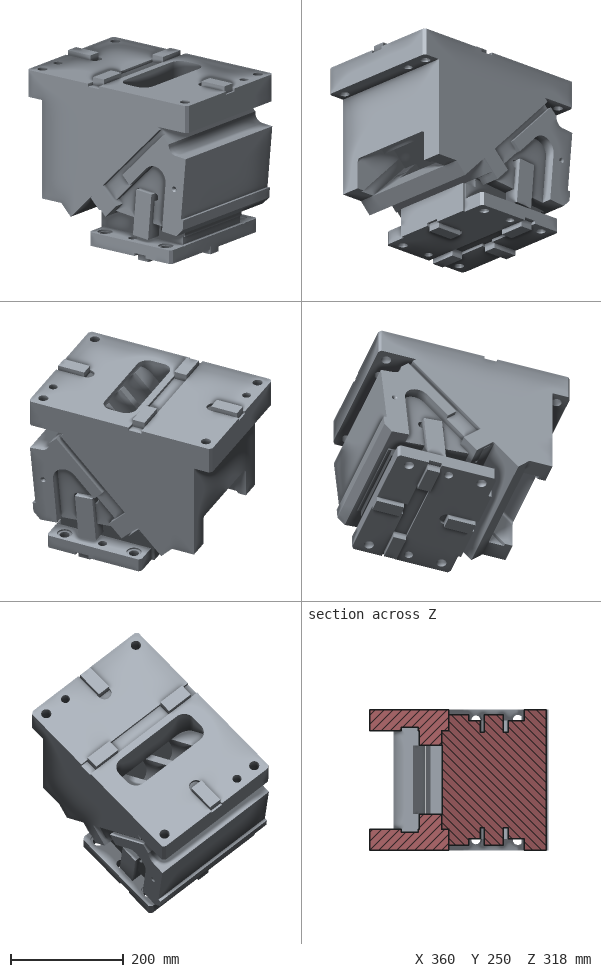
import cadquery as cq
import math


HALF_WIDTH = 125.0
CUT_MARGIN = 3.5
CORNER_CHAMFER_X = 4.5
CORNER_CHAMFER_Y = 5.5

SLIDE_N = -122.5
SLAB_THICKNESS = 30.2
FLOOR_N = SLIDE_N + SLAB_THICKNESS
SLIDE_TOP_S = 43.2

KEY_LENGTH = 51.0
KEY_WIDTH = 23.8
KEY_SLOT_WIDTH = 25.0
KEY_SLOT_DEPTH = 5.5
KEY_HEIGHT = 9.0
BOLT_DIAMETER = 18.0
DOWEL_DIAMETER = 16.0

PLATE_HALF_LENGTH = 180.0
PLATE_THICKNESS = 50.0
BODY_LEFT_X = -145.8
BODY_BOTTOM_Z = -233.0
FOOT_TIP_S = -237.5
FINGER_LOW_S = -171.7
FINGER_HIGH_S = -137.0
FINGER_REACH = 44.5
FINGER_INNER_Y = 86.8
CHANNEL_HALF_WIDTH = 86.8
CHANNEL_TOP_S = 41.5
CHANNEL_LOW_S = -324.0
UNDERCUT_HALF_WIDTH = 92.5
UNDERCUT_HEIGHT = 20.5
MOUTH_HEIGHT = 71.0
MOUTH_TOP_S = -162.0
MOUTH_CORNER = 5.5
WINDOW_X = (-4.5, 58.0)
WINDOW_HALF_WIDTH = 86.5
WINDOW_CORNER = 20.0
PORT_LOW_S = -189.0
PORT_HALF_WIDTH = 61.0
GROOVE_S = (-176.8, -164.5)
GROOVE_DEPTH = 1.0
END_KEY_X = 150.5
END_SLOT_LENGTH = 68.5
CROSS_KEY_X = -30.0
CROSS_KEY_Y = 85.5
PLATE_BOLT_X = 160.2
PLATE_BOLT_Y = 105.0
PLATE_DOWELS = [(-PLATE_BOLT_X, -60.0), (PLATE_BOLT_X, 64.8)]

HEAD_TOP_N = -46.8
HEAD_LOW_S = -135.5
HEAD_HIGH_S = 31.5
NECK_HALF_WIDTH = 58.5
TROUGH_Y = 30.2
TROUGH_RADIUS = 23.5
TROUGH_WALL = 13.5
TROUGH_LOW_S = -70.2

TILT = 5.0
SLIDER_LOW_S = -174.5
SLIDER_BOTTOM_X = -17.5
SLIDER_BOTTOM_Z = -230.0
NOSE_START_X = 139.0
NOSE_MIDDLE = (143.5, -91.5)
NOSE_FLOOR = (156.2, -96.5)
NOSE_TIP = (177.0, -98.3)
LIP_Z = -212.8
LIP_X = 166.5
LIP_WIDTH = 5.5
LOWER_CORNER = (170.3, -231.5)
HEEL_X = 156.5
POCKET_Y = 105.0
POCKET_RADIUS = 25.2
POCKET_CENTRE = (106.5, -150.0)
POCKET_DROP = 108.0
RECESS_Y = 116.0
LEDGE_N = -134.0
LEDGE_LOW_S = -84.5
DIMPLE_DIAMETER = 10.0
DIMPLE_CENTRE = (151.2, -159.0)
DIMPLE_DEPTH = 4.5
DIMPLE_TAPER = 45.0
HOOK_INNER_Y = 85.5
HOOK_OUTER_Y = 116.0
HOOK_BOTTOM_LEFT = (51.5, -265.0)
HOOK_WIDTH = 34.2
HOOK_HEIGHT = 86.0
SEAT_RADIUS = 7.5
PAD_DEPTH = 3.0
PAD_END_X = 147.5

BASE_BOTTOM_Z = -300.0
BASE_PLATE_Z = -274.5
BASE_PLATE_X = (-41.0, 144.5)
BLOCK_HALF_WIDTH = 81.7
BOSS_HALF_WIDTH = 80.3
BLOCK_LEFT_X = -46.5
BLOCK_STEP_Z = -246.0
BLOCK_RIGHT_X = 138.0
BLOCK_LIP_X = 141.5
BLOCK_LIP_Z = -260.0
BASE_BOLT_X = (-18.7, 117.7)
BASE_HOLE_Y = 106.2
BASE_DOWEL_X = 43.2
COUNTERBORE_DIAMETER = 27.0
COUNTERBORE_DEPTH = 3.0
FOOT_GROOVE_OUTER_Y = 87.5
FOOT_GROOVE_DEPTH = 0.7
BASE_CROSS_KEY_X = 74.5
BASE_CROSS_KEY_Y = 90.0
CATCH_X = (57.5, 90.7)
CATCH_Z = (-256.5, -246.0)

ROOT2 = math.sqrt(2)
POCKET_EDGE_N = (POCKET_CENTRE[1] - POCKET_CENTRE[0]) / ROOT2 + POCKET_RADIUS
TILT_SLOPE = math.tan(math.radians(TILT))


def slide_point(s, n):
    """X and Z of a point given in slide coordinates."""
    return (s - n) / ROOT2, (s + n) / ROOT2


def prism(outline, y_low, y_high):
    """X-Z outline extruded from y_low to y_high."""
    return cq.Workplane("XZ", origin=(0, y_high, 0)).polyline(outline).close().extrude(y_high - y_low)


def slide_block(s_low, s_high, n_low, n_high, y_low, y_high):
    """Block with its sides along the slide directions."""
    corners = [(s_low, n_low), (s_high, n_low), (s_high, n_high), (s_low, n_high)]
    return prism([slide_point(s, n) for s, n in corners], y_low, y_high)


def box(x_range, y_range, z_range):
    lows, highs = zip(x_range, y_range, z_range)
    lengths = [high - low for low, high in zip(lows, highs)]
    return cq.Workplane("XY").box(*lengths, centered=False).translate(lows)


def both_sides(solid):
    """A solid together with its mirror image across y = 0."""
    return solid.union(solid.mirror("XZ"))


def corner_cut_plate(x_range, z_range):
    """Full-width plate with its four upright corners cut off."""
    x_low, x_high = x_range
    inner_y = HALF_WIDTH - CORNER_CHAMFER_Y
    inner_low = x_low + CORNER_CHAMFER_X
    inner_high = x_high - CORNER_CHAMFER_X
    outline = [
        (inner_low, -HALF_WIDTH), (inner_high, -HALF_WIDTH), (x_high, -inner_y), (x_high, inner_y),
        (inner_high, HALF_WIDTH), (inner_low, HALF_WIDTH), (x_low, inner_y), (x_low, -inner_y),
    ]
    z_low, z_high = z_range
    return cq.Workplane("XY", origin=(0, 0, z_low)).polyline(outline).close().extrude(z_high - z_low)


def drill(points, diameter, z_low, z_high):
    """Upright round cutters at the given points."""
    plane = cq.Workplane("XY", origin=(0, 0, z_low))
    return plane.pushPoints(points).circle(diameter / 2).extrude(z_high - z_low)


def key(x, y, along_x, z_low, z_high):
    """Locating key centred at x, y, with its length along X or Y."""
    length_x, length_y = (KEY_LENGTH, KEY_WIDTH) if along_x else (KEY_WIDTH, KEY_LENGTH)
    x_range = (x - length_x / 2, x + length_x / 2)
    y_range = (y - length_y / 2, y + length_y / 2)
    return box(x_range, y_range, (z_low, z_high))


def slider_bottom(x):
    """Height of the tilted slider underside at x."""
    return SLIDER_BOTTOM_Z - (x - SLIDER_BOTTOM_X) * TILT_SLOPE


def tilted_box(corner, width, height, y_low, y_high):
    """Block leaning by the tilt angle, given its lower left corner in X-Z."""
    block = box((0, width), (y_low, y_high), (0, height)).rotate((0, 0, 0), (0, 1, 0), TILT)
    return block.translate((corner[0], 0, corner[1]))


def end_key_slot(x_edge, inward, z_low):
    """Key slot open at the plate end x_edge, with a round inner end; inward is +1 or -1."""
    half = KEY_SLOT_WIDTH / 2
    x_centre = x_edge + inward * (END_SLOT_LENGTH - half)
    z_range = (z_low, z_low + KEY_SLOT_DEPTH)
    slot = box(sorted((x_edge, x_centre)), (-half, half), z_range)
    return slot.union(drill([(x_centre, 0)], KEY_SLOT_WIDTH, *z_range))


def cross_key_slot(x, z_low):
    """Key slot across the full width."""
    half = KEY_SLOT_WIDTH / 2
    return box((x - half, x + half), (-HALF_WIDTH, HALF_WIDTH), (z_low, z_low + KEY_SLOT_DEPTH))


def holder_body():
    """Top plate and the body below it, with the sloping slab and its foot."""
    foot_left_x = BODY_BOTTOM_Z - FLOOR_N * ROOT2
    plate = corner_cut_plate((-PLATE_HALF_LENGTH, PLATE_HALF_LENGTH), (-PLATE_THICKNESS, 0))
    outline = [
        (BODY_LEFT_X, -CUT_MARGIN),
        (BODY_LEFT_X, BODY_BOTTOM_Z),
        (foot_left_x, BODY_BOTTOM_Z),
        slide_point(FOOT_TIP_S, SLIDE_N),
        slide_point(SLIDE_TOP_S, SLIDE_N),
        (SLIDE_TOP_S * ROOT2 + PLATE_THICKNESS, -PLATE_THICKNESS),
        (SLIDE_TOP_S * ROOT2 + PLATE_THICKNESS, -CUT_MARGIN),
    ]
    return plate.union(prism(outline, -HALF_WIDTH, HALF_WIDTH))


def finger():
    """Guide finger that reaches down beside the slider."""
    return slide_block(
        FINGER_LOW_S, FINGER_HIGH_S, SLIDE_N - FINGER_REACH, SLIDE_N, FINGER_INNER_Y, HALF_WIDTH
    )


def channel():
    """Sloping channel above the slab, undercut at its floor, with a rounded mouth at its lower end."""
    cutter = slide_block(
        CHANNEL_LOW_S, CHANNEL_TOP_S, FLOOR_N, HEAD_TOP_N, -CHANNEL_HALF_WIDTH, CHANNEL_HALF_WIDTH
    )
    undercut = slide_block(
        CHANNEL_LOW_S, CHANNEL_TOP_S, FLOOR_N, FLOOR_N + UNDERCUT_HEIGHT,
        -UNDERCUT_HALF_WIDTH, UNDERCUT_HALF_WIDTH,
    )
    mouth = slide_block(
        CHANNEL_LOW_S, MOUTH_TOP_S, FLOOR_N, FLOOR_N + MOUTH_HEIGHT, -CHANNEL_HALF_WIDTH, CHANNEL_HALF_WIDTH
    )
    along_slide = cq.selectors.ParallelDirSelector(cq.Vector(1, 0, 1))
    uppermost = cq.selectors.DirectionMinMaxSelector(cq.Vector(-1, 0, 1), True)
    mouth = mouth.edges(along_slide).edges(uppermost).fillet(MOUTH_CORNER)
    return cutter.union(undercut).union(mouth)


def slab_port():
    """Slot through the slab for the slider neck, and the shallow groove across the channel floor."""
    port = slide_block(PORT_LOW_S, SLIDE_TOP_S, SLIDE_N, FLOOR_N, -PORT_HALF_WIDTH, PORT_HALF_WIDTH)
    groove = slide_block(
        *GROOVE_S, FLOOR_N - GROOVE_DEPTH, FLOOR_N, -CHANNEL_HALF_WIDTH, CHANNEL_HALF_WIDTH
    )
    return port.union(groove)


def window():
    """Rounded window from the top face down into the channel."""
    x_low, x_high = WINDOW_X
    channel_low = x_low + HEAD_TOP_N * ROOT2
    channel_high = x_high + HEAD_TOP_N * ROOT2
    shaft = box(WINDOW_X, (-WINDOW_HALF_WIDTH, WINDOW_HALF_WIDTH), (channel_low, CUT_MARGIN))
    shaft = shaft.edges("|Z").fillet(WINDOW_CORNER)
    above_channel = [
        (x_low, channel_low), (x_high, channel_high), (x_high, CUT_MARGIN), (x_low, CUT_MARGIN)
    ]
    return shaft.intersect(prism(above_channel, -WINDOW_HALF_WIDTH, WINDOW_HALF_WIDTH))


def make_holder():
    body = holder_body().union(both_sides(finger()))
    body = body.cut(channel()).cut(slab_port()).cut(window())

    body = body.cut(cross_key_slot(CROSS_KEY_X, -KEY_SLOT_DEPTH))
    for inward in (-1, 1):
        body = body.cut(end_key_slot(-inward * PLATE_HALF_LENGTH, inward, -KEY_SLOT_DEPTH))

    bolts = [(x, y) for x in (-PLATE_BOLT_X, PLATE_BOLT_X) for y in (-PLATE_BOLT_Y, PLATE_BOLT_Y)]
    body = body.cut(drill(bolts, BOLT_DIAMETER, -PLATE_THICKNESS, 0))
    body = body.cut(drill(PLATE_DOWELS, DOWEL_DIAMETER, -PLATE_THICKNESS, 0))

    for x in (-END_KEY_X, END_KEY_X):
        body = body.union(key(x, 0, True, -KEY_SLOT_DEPTH, KEY_HEIGHT))
    for y in (-CROSS_KEY_Y, CROSS_KEY_Y):
        body = body.union(key(CROSS_KEY_X, y, False, -KEY_SLOT_DEPTH, KEY_HEIGHT))
    return body


def spring_troughs():
    """Two U-shaped cutters along the slide, open at the top of the head."""
    direction = (1 / ROOT2, 0, 1 / ROOT2)
    x, z = slide_point(TROUGH_LOW_S, HEAD_TOP_N)
    plane = cq.Workplane(cq.Plane(origin=(x, 0, z), xDir=(0, 1, 0), normal=direction))
    cutters = cq.Workplane("XY")
    for y in (-TROUGH_Y, TROUGH_Y):
        trough = (
            plane.moveTo(y - TROUGH_RADIUS, CUT_MARGIN)
            .lineTo(y - TROUGH_RADIUS, -TROUGH_WALL)
            .threePointArc((y, -TROUGH_WALL - TROUGH_RADIUS), (y + TROUGH_RADIUS, -TROUGH_WALL))
            .lineTo(y + TROUGH_RADIUS, CUT_MARGIN)
            .close()
            .extrude(HEAD_HIGH_S - TROUGH_LOW_S)
        )
        cutters = cutters.add(trough)
    return cutters.combine()


def slider_block():
    """Full-width slider between the slide face and the tilted underside."""
    start = slide_point(SLIDER_LOW_S, SLIDE_N)
    top = slide_point(SLIDE_TOP_S, SLIDE_N)
    nose = (NOSE_START_X, top[0] + top[1] - NOSE_START_X)
    return (
        cq.Workplane("XZ", origin=(0, HALF_WIDTH, 0))
        .moveTo(*start)
        .lineTo(*top)
        .lineTo(*nose)
        .threePointArc(NOSE_MIDDLE, NOSE_FLOOR)
        .lineTo(*NOSE_TIP)
        .lineTo(LIP_X, LIP_Z)
        .lineTo(LIP_X + LIP_WIDTH, LIP_Z)
        .lineTo(*LOWER_CORNER)
        .lineTo(HEEL_X, slider_bottom(HEEL_X))
        .lineTo(SLIDER_BOTTOM_X, SLIDER_BOTTOM_Z)
        .close()
        .extrude(2 * HALF_WIDTH)
    )


def side_pocket():
    """U-shaped pocket in the +Y side, open downwards, with the strip under the finger."""
    x, z = POCKET_CENTRE
    tilt = math.radians(TILT)
    right_top = (x + POCKET_RADIUS * math.cos(tilt), z - POCKET_RADIUS * math.sin(tilt))
    right_low = (right_top[0] - POCKET_DROP * TILT_SLOPE, right_top[1] - POCKET_DROP)
    arc_start = (x - POCKET_RADIUS / ROOT2, z + POCKET_RADIUS / ROOT2)
    low_left = slide_point(SLIDER_LOW_S - CUT_MARGIN, POCKET_EDGE_N)
    return (
        cq.Workplane("XZ", origin=(0, HALF_WIDTH, 0))
        .moveTo(*low_left)
        .lineTo(*arc_start)
        .threePointArc((x, z + POCKET_RADIUS), right_top)
        .lineTo(*right_low)
        .lineTo(low_left[0], right_low[1])
        .close()
        .extrude(HALF_WIDTH - POCKET_Y)
    )


def finger_clearance():
    """Space for the holder finger on the +Y side."""
    return slide_block(
        SLIDER_LOW_S, FINGER_HIGH_S, SLIDE_N - FINGER_REACH, SLIDE_N, FINGER_INNER_Y, HALF_WIDTH
    )


def edge_recess():
    """Shallow recess along the slide on the +Y side, deeper in n at its lower end."""
    strip = slide_block(FINGER_HIGH_S, SLIDE_TOP_S, LEDGE_N, SLIDE_N, RECESS_Y, HALF_WIDTH)
    lower_end = slide_block(FINGER_HIGH_S, LEDGE_LOW_S, POCKET_EDGE_N, SLIDE_N, RECESS_Y, HALF_WIDTH)
    return strip.union(lower_end)


def head():
    """Wide head in the channel, standing on a narrower neck, with the spring troughs cut into it."""
    block = slide_block(
        HEAD_LOW_S, HEAD_HIGH_S, FLOOR_N, HEAD_TOP_N, -CHANNEL_HALF_WIDTH, CHANNEL_HALF_WIDTH
    )
    neck = slide_block(HEAD_LOW_S, HEAD_HIGH_S, SLIDE_N, FLOOR_N, -NECK_HALF_WIDTH, NECK_HALF_WIDTH)
    return block.union(neck).cut(spring_troughs())


def pad():
    """Pad under the slider that rests on the base block."""
    right_z = slider_bottom(PAD_END_X)
    outline = [
        (SLIDER_BOTTOM_X, SLIDER_BOTTOM_Z),
        (PAD_END_X, right_z),
        (PAD_END_X, right_z - PAD_DEPTH),
        (SLIDER_BOTTOM_X, SLIDER_BOTTOM_Z - PAD_DEPTH),
    ]
    return prism(outline, -BLOCK_HALF_WIDTH, BLOCK_HALF_WIDTH)


def hook():
    """Tilted hook on the +Y side that reaches down beside the base block."""
    return tilted_box(HOOK_BOTTOM_LEFT, HOOK_WIDTH, HOOK_HEIGHT, HOOK_INNER_Y, HOOK_OUTER_Y)


def hook_seat():
    """Round-ended seat around the top of the hook."""
    x, z = HOOK_BOTTOM_LEFT
    plane = cq.Workplane("XZ", origin=(0, HALF_WIDTH, 0)).center(HOOK_WIDTH / 2, HOOK_HEIGHT - SEAT_RADIUS)
    seat = plane.slot2D(HOOK_WIDTH + 2 * SEAT_RADIUS, 2 * SEAT_RADIUS).extrude(HALF_WIDTH - HOOK_INNER_Y)
    return seat.rotate((0, 0, 0), (0, 1, 0), TILT).translate((x, 0, z))


def dimple():
    """Conical dimple in the +Y side."""
    plane = cq.Workplane("XZ", origin=(0, HALF_WIDTH, 0)).center(*DIMPLE_CENTRE)
    return plane.circle(DIMPLE_DIAMETER / 2).extrude(DIMPLE_DEPTH, taper=DIMPLE_TAPER)


def make_slider():
    body = slider_block()
    for cutter in (side_pocket(), finger_clearance(), edge_recess(), hook_seat(), dimple()):
        body = body.cut(both_sides(cutter))
    return body.union(head()).union(pad()).union(both_sides(hook()))


def base_block():
    """Central block with the tilted driving face, and the boss at its -X end."""
    top_left_z = SLIDER_BOTTOM_Z - PAD_DEPTH
    top_right_z = slider_bottom(BLOCK_LIP_X) - PAD_DEPTH
    boss_right_x = BASE_PLATE_X[0]
    outline = [
        (boss_right_x, BASE_BOTTOM_Z), (boss_right_x, BLOCK_STEP_Z), (SLIDER_BOTTOM_X, BLOCK_STEP_Z),
        (SLIDER_BOTTOM_X, top_left_z), (BLOCK_LIP_X, top_right_z), (BLOCK_LIP_X, BLOCK_LIP_Z),
        (BLOCK_RIGHT_X, BLOCK_LIP_Z), (BLOCK_RIGHT_X, BASE_BOTTOM_Z),
    ]
    boss = box(
        (BLOCK_LEFT_X, boss_right_x), (-BOSS_HALF_WIDTH, BOSS_HALF_WIDTH), (BASE_BOTTOM_Z, BLOCK_STEP_Z)
    )
    return prism(outline, -BLOCK_HALF_WIDTH, BLOCK_HALF_WIDTH).union(boss)


def make_base():
    body = corner_cut_plate(BASE_PLATE_X, (BASE_BOTTOM_Z, BASE_PLATE_Z)).union(base_block())
    body = body.union(both_sides(box(CATCH_X, (BLOCK_HALF_WIDTH, HOOK_INNER_Y), CATCH_Z)))

    groove_y = (BLOCK_HALF_WIDTH, FOOT_GROOVE_OUTER_Y)
    groove_z = (BASE_PLATE_Z - FOOT_GROOVE_DEPTH, BASE_PLATE_Z)
    body = body.cut(both_sides(box(BASE_PLATE_X, groove_y, groove_z)))

    bolts = [(x, y) for x in BASE_BOLT_X for y in (-BASE_HOLE_Y, BASE_HOLE_Y)]
    dowels = [(BASE_DOWEL_X, y) for y in (-BASE_HOLE_Y, BASE_HOLE_Y)]
    body = body.cut(drill(bolts, BOLT_DIAMETER, BASE_BOTTOM_Z, BASE_PLATE_Z))
    body = body.cut(drill(bolts, COUNTERBORE_DIAMETER, BASE_PLATE_Z - COUNTERBORE_DEPTH, BASE_PLATE_Z))
    body = body.cut(drill(dowels, DOWEL_DIAMETER, BASE_BOTTOM_Z, BASE_PLATE_Z))

    body = body.cut(cross_key_slot(BASE_CROSS_KEY_X, BASE_BOTTOM_Z))
    body = body.cut(end_key_slot(BLOCK_LEFT_X, 1, BASE_BOTTOM_Z))
    body = body.cut(end_key_slot(BASE_PLATE_X[1], -1, BASE_BOTTOM_Z))

    z_low = BASE_BOTTOM_Z - KEY_HEIGHT
    z_high = BASE_BOTTOM_Z + KEY_SLOT_DEPTH
    for x in (BASE_PLATE_X[0] + KEY_LENGTH / 2, BASE_PLATE_X[1] - KEY_LENGTH / 2):
        body = body.union(key(x, 0, True, z_low, z_high))
    for y in (-BASE_CROSS_KEY_Y, BASE_CROSS_KEY_Y):
        body = body.union(key(BASE_CROSS_KEY_X, y, False, z_low, z_high))
    return body


holder = make_holder()
slider = make_slider()
base = make_base()

result = cq.Compound.makeCompound([holder.val(), slider.val(), base.val()])